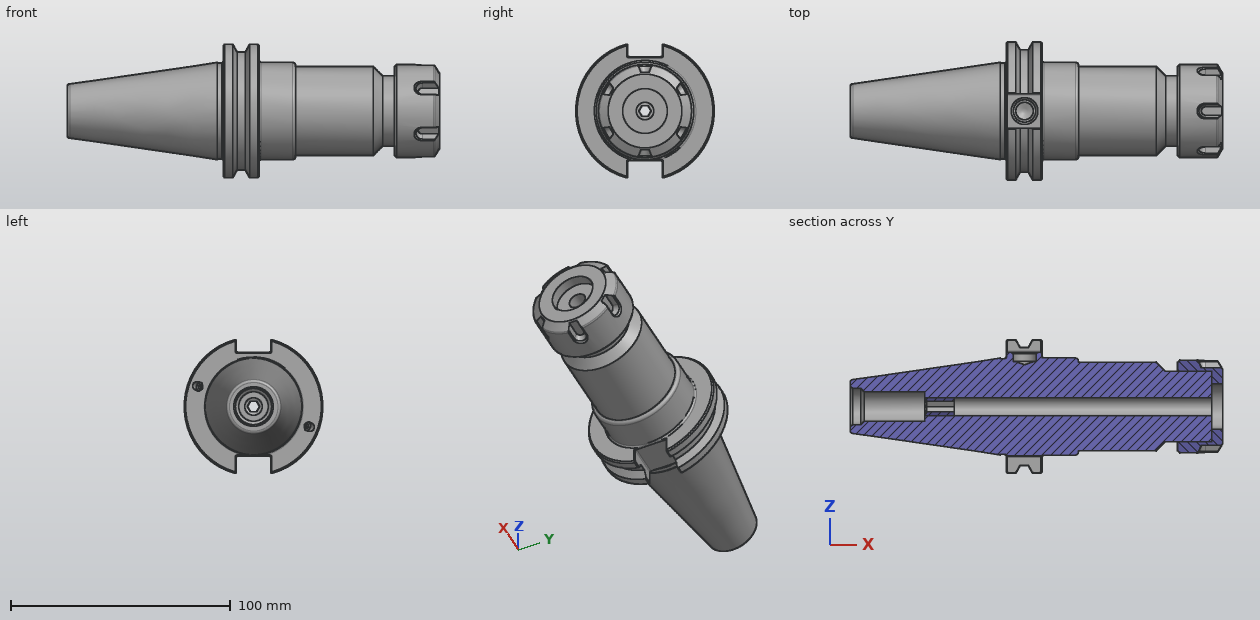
import cadquery as cq
import math


total_length = 169.9
taper_length = 68.5
small_end_radius = 12.2
taper_slope = 7 / 48
taper_radius = small_end_radius + taper_length * taper_slope
small_end_fillet = 1.4
neck_radius = 21.9
neck_root_fillet = 0.7

flange_start = 71.2
flange_end = 87.5
flange_radius = 31.6
flange_chamfer = 0.7
groove_start = 77.5
groove_end = 81.2
groove_radius = 28.0
groove_flank_angle = 30
groove_flank = (flange_radius - groove_radius) * math.tan(math.radians(groove_flank_angle))

collar_radius = 22.3
collar_end = 104.1
collar_fillet = 1.5
flange_root_fillet = 0.8
shank_radius = 20.4
shank_end = 139.5
nose_radius = 16.1
nose_cone_end = shank_end + (shank_radius - nose_radius)

slot_width = 15.6
upper_slot_floor = 24.8
lower_slot_floor = 22.6
slot_chamfer = 0.5
slot_floor_fillet = 0.5

dimple_x = 79.5
dimple_rim_radius = 6.1
dimple_radius = 5.1
dimple_drill_radius = 4.0
dimple_rim_depth = 0.8
dimple_depth = 4.2
drill_tip_angle = 140

bore_mouth_radius = 9.0
pilot_radius = 8.24
pilot_mouth_depth = 1.2
pilot_depth = 5.0
thread_radius = 6.71
thread_depth = 34.0
through_radius = 4.0

stop_screw_length = 13.6
stop_screw_hex = 4.8
stop_screw_bevel_angle = 120

port_radius = 2.0
port_circle_radius = 27.0
port_angle = 20.0
port_tilt = 30.0
port_depth = 6.8
port_screw_recess = 2.4
port_screw_hex = 2.0
port_screw_hex_depth = 2.0

nut_start = 149.1
nut_radius = 21.2
nut_rear_chamfer = 1.0
nut_face_radius = 16.8
nut_front_angle = 60
nut_front_chamfer = (nut_radius - nut_face_radius) / math.tan(math.radians(nut_front_angle))
nut_edge_fillet = 0.8
nut_face_bore_radius = 10.2
nut_face_thickness = 5.1
nut_slot_count = 6
nut_slot_centre = 161.9
nut_slot_floor = 17.7
nut_slot_floor_width = 3.7
nut_slot_draft = 22
nut_slot_rim_bevel = 0.8
nut_slot_rim_angle = 45

nose_end = total_length - nut_face_thickness


def turned(points):
    """Solid of revolution about X from (x, radius) points that start and end on the axis."""
    return cq.Workplane("XY").polyline(points).close().revolve(360, (0, 0, 0), (-1, 0, 0))


def ring_edges(body, x, radius):
    """The circular edge of a turned body at the given x and radius."""
    tolerance = 0.02
    circles = body.edges("%CIRCLE")
    return circles.filter(lambda e: abs(e.Center().x - x) < tolerance and abs(e.radius() - radius) < tolerance)


def hex_prism(plane, across_flats, length):
    return cq.Workplane(plane).polygon(6, across_flats, circumscribed=True).extrude(length)


def holder_blank():
    blank = turned([
        (0, 0),
        (0, small_end_radius),
        (taper_length, taper_radius),
        (taper_length, neck_radius),
        (flange_start, neck_radius),
        (flange_start, flange_radius - flange_chamfer),
        (flange_start + flange_chamfer, flange_radius),
        (groove_start - groove_flank, flange_radius),
        (groove_start, groove_radius),
        (groove_end, groove_radius),
        (groove_end + groove_flank, flange_radius),
        (flange_end - flange_chamfer, flange_radius),
        (flange_end, flange_radius - flange_chamfer),
        (flange_end, collar_radius),
        (collar_end, collar_radius),
        (collar_end, shank_radius),
        (shank_end, shank_radius),
        (nose_cone_end, nose_radius),
        (nose_end, nose_radius),
        (nose_end, 0),
    ])
    blank = ring_edges(blank, 0, small_end_radius).fillet(small_end_fillet)
    blank = ring_edges(blank, flange_start, neck_radius).fillet(neck_root_fillet)
    blank = ring_edges(blank, flange_end, collar_radius).fillet(flange_root_fillet)
    return ring_edges(blank, collar_end, collar_radius).fillet(collar_fillet)


def drive_slot(floor):
    """Cutter for a drive slot on the +Z side, with its floor at the given height."""
    overrun = 1.7
    slot = (
        cq.Workplane("XY")
        .box(flange_end - flange_start + 2 * overrun, slot_width, flange_radius, centered=(False, True, False))
        .edges("|X and <Z")
        .fillet(slot_floor_fillet)
    )
    return slot.translate((flange_start - overrun, 0, floor))


def is_slot_rim(edge):
    """True for an edge of a slot wall on the end faces and outer lands of the flange."""
    in_groove = groove_start - groove_flank < edge.Center().x < groove_end + groove_flank
    along_floor = edge.geomType() == "LINE" and edge.Length() > slot_width / 2
    return not in_groove and not along_floor


def cut_drive_slots(body):
    body = body.cut(drive_slot(upper_slot_floor))
    body = body.cut(drive_slot(lower_slot_floor).rotate((0, 0, 0), (1, 0, 0), 180))
    rims = body.faces("|Y").edges().filter(is_slot_rim)
    return rims.chamfer(slot_chamfer)


def dimple():
    """Cutter for the stepped blind hole, ending in a drill tip."""
    tip = dimple_drill_radius / math.tan(math.radians(drill_tip_angle / 2))
    profile = [
        (0, 0),
        (dimple_rim_radius, 0),
        (dimple_radius, -dimple_rim_depth),
        (dimple_radius, -dimple_depth),
        (dimple_drill_radius, -dimple_depth),
        (0, -dimple_depth - tip),
    ]
    cutter = cq.Workplane("XZ").polyline(profile).close().revolve(360, (0, 0, 0), (0, 1, 0))
    return cutter.translate((dimple_x, 0, upper_slot_floor))


def rear_bore():
    return turned([
        (0, 0),
        (0, bore_mouth_radius),
        (pilot_mouth_depth, pilot_radius),
        (pilot_depth, pilot_radius),
        (pilot_depth + pilot_radius - thread_radius, thread_radius),
        (thread_depth, thread_radius),
        (thread_depth, through_radius),
        (nose_end, through_radius),
        (nose_end, 0),
    ])


def port_plane(side, depth):
    """Plane across a coolant port, its normal pointing out of the port; side is +1 or -1."""
    angle = math.radians(port_angle)
    tilt = math.radians(port_tilt)
    outward = cq.Vector(0, side * math.cos(angle), side * math.sin(angle))
    normal = outward * math.sin(tilt) - cq.Vector(math.cos(tilt), 0, 0)
    mouth = outward * port_circle_radius + cq.Vector(flange_start, 0, 0)
    across = normal.cross(outward)
    return cq.Plane(mouth - normal * depth, across, normal)


def port_cutter(side):
    return cq.Workplane(port_plane(side, port_depth)).circle(port_radius).extrude(port_depth + port_radius)


def make_holder():
    body = cut_drive_slots(holder_blank())
    body = body.cut(dimple()).cut(rear_bore())
    for side in (1, -1):
        body = body.cut(port_cutter(side))
    return body


def make_stop_screw():
    """Screw with a hexagonal hole right through it and a beveled rear mouth."""
    screw = turned([
        (thread_depth, 0),
        (thread_depth, through_radius),
        (thread_depth + stop_screw_length, through_radius),
        (thread_depth + stop_screw_length, 0),
    ])
    bevel_depth = through_radius / math.tan(math.radians(stop_screw_bevel_angle / 2))
    bevel = turned([
        (thread_depth, 0),
        (thread_depth, through_radius),
        (thread_depth + bevel_depth, 0),
    ])
    plane = cq.Plane((thread_depth, 0, 0), (0, 0, 1), (1, 0, 0))
    return screw.cut(bevel).cut(hex_prism(plane, stop_screw_hex, stop_screw_length))


def make_port_screw(side):
    length = port_depth - port_screw_recess
    screw = cq.Workplane(port_plane(side, port_depth)).circle(port_radius).extrude(length)
    socket_plane = port_plane(side, port_screw_recess + port_screw_hex_depth)
    return screw.cut(hex_prism(socket_plane, port_screw_hex, port_screw_hex_depth))


def nut_slot():
    """Cutter for one round-ended nut slot on the +Z side, with drafted walls and a beveled rim."""
    bevel_start = nut_radius - nut_slot_rim_bevel
    wall_height = bevel_start - nut_slot_floor
    floor_half = nut_slot_floor_width / 2
    bevel_half = floor_half + wall_height * math.tan(math.radians(nut_slot_draft))
    run = total_length + nut_radius - nut_slot_centre

    def outline(level, half):
        return (
            cq.Workplane("XY", origin=(nut_slot_centre, 0, level))
            .moveTo(run, half)
            .lineTo(0, half)
            .threePointArc((-half, 0), (0, -half))
            .lineTo(run, -half)
            .close()
        )

    walls = outline(nut_slot_floor, floor_half).extrude(wall_height, taper=-nut_slot_draft)
    bevel = outline(bevel_start, bevel_half).extrude(2 * nut_slot_rim_bevel, taper=-nut_slot_rim_angle)
    return walls.union(bevel)


def make_nut():
    nut = turned([
        (nut_start, 0),
        (nut_start, nut_radius - nut_rear_chamfer),
        (nut_start + nut_rear_chamfer, nut_radius),
        (total_length - nut_front_chamfer, nut_radius),
        (total_length, nut_face_radius),
        (total_length, 0),
    ])
    nut = ring_edges(nut, total_length - nut_front_chamfer, nut_radius).fillet(nut_edge_fillet)
    nut = nut.cut(turned([
        (nut_start, 0),
        (nut_start, nose_radius),
        (nose_end, nose_radius),
        (nose_end, nut_face_bore_radius),
        (total_length, nut_face_bore_radius),
        (total_length, 0),
    ]))
    for i in range(nut_slot_count):
        nut = nut.cut(nut_slot().rotate((0, 0, 0), (1, 0, 0), i * 360 / nut_slot_count))
    return nut


holder = make_holder()
nut = make_nut()
stop_screw = make_stop_screw()
port_screws = [make_port_screw(side) for side in (1, -1)]

result = cq.Compound.makeCompound([
    *holder.vals()[0].Solids(),
    *nut.vals()[0].Solids(),
    *stop_screw.vals()[0].Solids(),
    *[solid for screw in port_screws for solid in screw.val().Solids()],
])